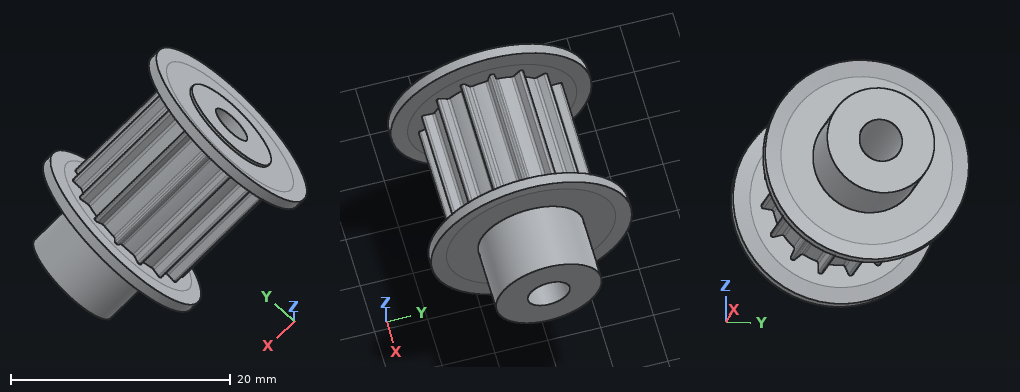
import cadquery as cq
import math

total_length = 21.0
flanged_length = 15.0
hub_diameter = 10.0
bore_diameter = 4.0

flange_diameter = 19.0
flange_flat_diameter = 16.0
flange_thickness = 1.0
flange_dish = 0.25

tooth_count = 15
tip_radius = 6.95
root_radius = 5.9
tip_half_width = 0.19
flank_angle = 12.5
root_fillet = 0.25
tip_fillet = 0.19

tooth_pitch = 360.0 / tooth_count
tooth_zone_start = flange_dish + flange_thickness
tooth_zone_length = flanged_length - 2 * tooth_zone_start


def around_axis(radius, lateral, angle):
    """YZ point at a radius, offset sideways from a tooth centreline at the given angle."""
    direction = math.radians(angle) + math.asin(lateral / radius)
    return (radius * math.cos(direction), radius * math.sin(direction))


def round_long_edges(core, inner_radius, outer_radius, fillet_radius):
    """Fillet the sharp edges along X whose distance from the axis lies between two radii."""
    edges = [
        edge
        for edge in core.edges("|X").vals()
        if inner_radius < math.hypot(edge.Center().y, edge.Center().z) < outer_radius
    ]
    return core.newObject(edges).fillet(fillet_radius)


def make_toothed_core():
    """Straight-flanked teeth on a round root, one tooth centred on +Z, edges rounded."""
    root_half_width = tip_half_width + (tip_radius - root_radius) * math.tan(math.radians(flank_angle))
    first_angle = 90.0
    outline = cq.Workplane("YZ", origin=(tooth_zone_start, 0, 0))
    outline = outline.moveTo(*around_axis(root_radius, -root_half_width, first_angle))
    for index in range(tooth_count):
        angle = first_angle + index * tooth_pitch
        outline = (
            outline.lineTo(*around_axis(tip_radius, -tip_half_width, angle))
            .threePointArc(
                around_axis(tip_radius, 0, angle),
                around_axis(tip_radius, tip_half_width, angle),
            )
            .lineTo(*around_axis(root_radius, root_half_width, angle))
            .threePointArc(
                around_axis(root_radius, 0, angle + tooth_pitch / 2),
                around_axis(root_radius, -root_half_width, angle + tooth_pitch),
            )
        )
    core = outline.close().extrude(tooth_zone_length)

    mid_radius = (root_radius + tip_radius) / 2
    core = round_long_edges(core, mid_radius, tip_radius + tip_fillet, tip_fillet)
    return round_long_edges(core, 0, mid_radius, root_fillet)


def make_flange():
    """Flange at the -X end; its conical ring leans outward to the end plane."""
    rim_radius = flange_diameter / 2
    flat_radius = flange_flat_diameter / 2
    section = [
        (flange_dish, 0),
        (flange_dish, flat_radius),
        (0, rim_radius),
        (flange_thickness, rim_radius),
        (flange_dish + flange_thickness, flat_radius),
        (flange_dish + flange_thickness, 0),
    ]
    return cq.Workplane("XY").polyline(section).close().revolve(360, (0, 0, 0), (1, 0, 0))


flange = make_flange()
opposite_flange = flange.mirror("YZ").translate((flanged_length, 0, 0))

hub = cq.Workplane("YZ").circle(hub_diameter / 2).extrude(total_length)
bore = cq.Workplane("YZ").circle(bore_diameter / 2).extrude(total_length)

result = make_toothed_core().union(flange).union(opposite_flange).union(hub).cut(bore)